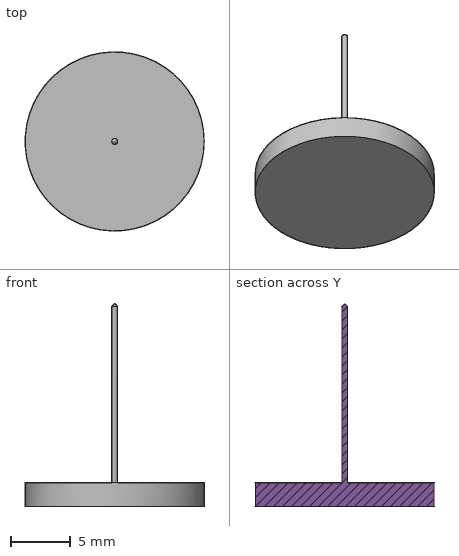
import cadquery as cq

total_height = 17.0
disc_diameter = 15.0
disc_thickness = 2.0
pin_diameter = 0.5

pin_radius = pin_diameter / 2
disc_radius = disc_diameter / 2
shoulder_height = total_height - pin_radius

half_section = (
    cq.Workplane("XZ")
    .moveTo(0, 0)
    .lineTo(disc_radius, 0)
    .lineTo(disc_radius, disc_thickness)
    .lineTo(pin_radius, disc_thickness)
    .lineTo(pin_radius, shoulder_height)
    .lineTo(0, total_height)
    .close()
)

result = half_section.revolve(360, (0, 0, 0), (0, 1, 0))